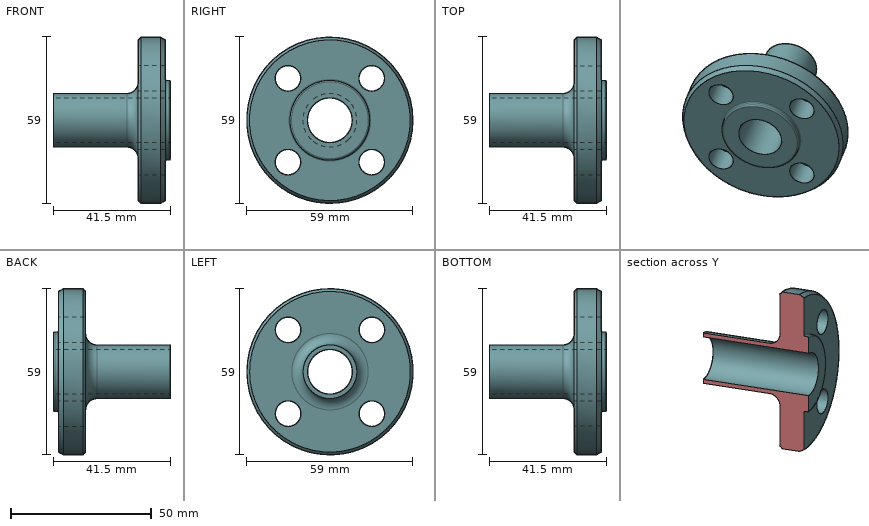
import cadquery as cq
import math

flange_diameter = 59
pipe_diameter = 19.05
bore_diameter = 15.75
raised_face_diameter = 28.3
total_length = 41.5
raised_face_height = 1.75
flange_thickness = 9.7
neck_fillet = 4.0
back_chamfer = 1.0
front_chamfer_length = 1.75
front_chamfer_depth = 1.0
raised_face_base_fillet = 0.3
raised_face_rim_fillet = 0.55
bolt_hole_diameter = 8.95
bolt_circle_diameter = 42.0
bolt_count = 4

flange_front = total_length - raised_face_height
flange_back = flange_front - flange_thickness
neck_start = flange_back - neck_fillet

flange_radius = flange_diameter / 2
pipe_radius = pipe_diameter / 2
face_radius = raised_face_diameter / 2
neck_radius = pipe_radius + neck_fillet


def turned_body():
    """Pipe, neck, flange and raised face as one revolved half section."""
    diagonal = math.sqrt(0.5)
    base_bulge = raised_face_base_fillet * (1 - diagonal)
    rim_bulge = raised_face_rim_fillet * (1 - diagonal)
    neck_middle = (
        neck_start + neck_fillet * diagonal,
        neck_radius - neck_fillet * diagonal,
    )
    return (
        cq.Workplane("XY")
        .moveTo(0, bore_diameter / 2)
        .lineTo(0, pipe_radius)
        .lineTo(neck_start, pipe_radius)
        .threePointArc(neck_middle, (flange_back, neck_radius))
        .lineTo(flange_back, flange_radius - back_chamfer)
        .lineTo(flange_back + back_chamfer, flange_radius)
        .lineTo(flange_front - front_chamfer_length, flange_radius)
        .lineTo(flange_front, flange_radius - front_chamfer_depth)
        .lineTo(flange_front, face_radius + raised_face_base_fillet)
        .threePointArc(
            (flange_front + base_bulge, face_radius + base_bulge),
            (flange_front + raised_face_base_fillet, face_radius),
        )
        .lineTo(total_length - raised_face_rim_fillet, face_radius)
        .threePointArc(
            (total_length - rim_bulge, face_radius - rim_bulge),
            (total_length, face_radius - raised_face_rim_fillet),
        )
        .lineTo(total_length, bore_diameter / 2)
        .close()
        .revolve(360, (0, 0, 0), (1, 0, 0))
    )


def bolt_holes():
    """Through holes on the bolt circle, midway between the Y and Z axes."""
    return (
        cq.Workplane("YZ", origin=(flange_back, 0, 0))
        .polarArray(bolt_circle_diameter / 2, 180 / bolt_count, 360, bolt_count)
        .circle(bolt_hole_diameter / 2)
        .extrude(flange_thickness)
    )


result = turned_body().cut(bolt_holes())